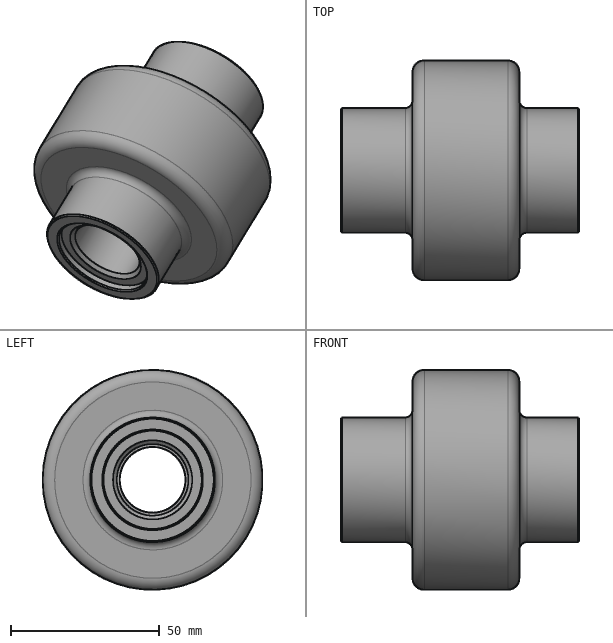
import cadquery as cq

length = 80.0
hub_diameter = 42.0
body_diameter = 74.0
body_start = -16.0
body_end = 20.0

body_edge_radius = 4.0
neck_fillet_radius = 2.5
hub_chamfer = 0.5

socket_diameter = 33.0
socket_depth = 2.5
socket_chamfer = 0.5
bore_diameter = 24.1
bore_chamfer = 1.3
throat_diameter = 22.0


def cylinder_x(diameter, start, end):
    """Solid cylinder along X between two positions."""
    return cq.Workplane("YZ", origin=(start, 0, 0)).circle(diameter / 2).extrude(end - start)


def chamfered_bore(diameter, start, end, chamfer):
    """Cutting cylinder whose mouth at the start flares outward by the chamfer."""
    radius = diameter / 2
    profile = (
        cq.Workplane("XY")
        .moveTo(start, 0)
        .lineTo(start, radius + chamfer)
        .lineTo(start + chamfer, radius)
        .lineTo(end, radius)
        .lineTo(end, 0)
        .close()
    )
    return profile.revolve(360, (0, 0, 0), (1, 0, 0))


def make_outside():
    """Rounded central body blended into a hub on each side."""
    hub = cylinder_x(hub_diameter, -length / 2, length / 2).faces("<X or >X").chamfer(hub_chamfer)
    body = cylinder_x(body_diameter, body_start, body_end).edges().fillet(body_edge_radius)
    outside = hub.union(body)

    hub_radius = hub_diameter / 2
    for face_x, outward in ((body_start, -1), (body_end, 1)):
        fillet_end = face_x + outward * neck_fillet_radius
        arc_offset = neck_fillet_radius * (1 - 0.5**0.5)
        neck = (
            cq.Workplane("XY")
            .moveTo(face_x, 0)
            .lineTo(face_x, hub_radius + neck_fillet_radius)
            .threePointArc(
                (face_x + outward * arc_offset, hub_radius + arc_offset),
                (fillet_end, hub_radius),
            )
            .lineTo(fillet_end, 0)
            .close()
            .revolve(360, (0, 0, 0), (1, 0, 0))
        )
        outside = outside.union(neck)
    return outside


def make_end_opening():
    """Shallow socket and bore cut from the -X end; the bore stops level with the body face."""
    end_face = -length / 2
    socket_floor = end_face + socket_depth
    socket = chamfered_bore(socket_diameter, end_face, socket_floor, socket_chamfer)
    bore = chamfered_bore(bore_diameter, socket_floor, body_start, bore_chamfer)
    return socket.union(bore)


opening = make_end_opening()
opposite_opening = opening.mirror("YZ")
throat = cylinder_x(throat_diameter, -length / 2, length / 2)

result = make_outside().cut(throat).cut(opening).cut(opposite_opening)